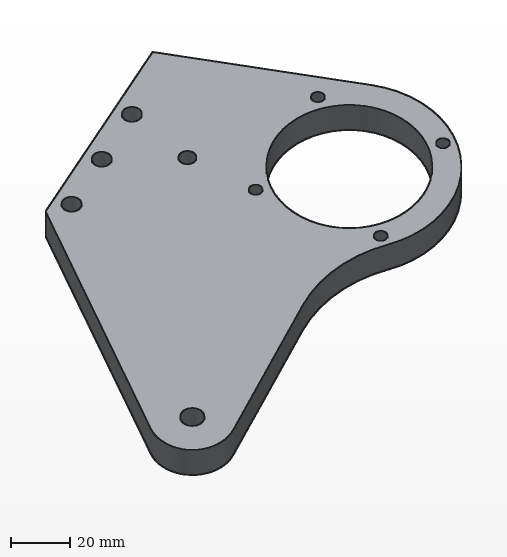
import cadquery as cq
import math

THICKNESS = 12.7

RING_RADIUS = 37.8
BORE_RADIUS = 28.0
RING_HOLE_RADIUS = 2.3
RING_HOLE_SPACING = 47.1

LENGTH = 178.5
TAIL_RADIUS = 15.0
TAIL_HOLE_RADIUS = 4.1
TAIL_CENTER = (3.4, -(LENGTH - RING_RADIUS - TAIL_RADIUS))

WIDTH = 120.5
EDGE_X = RING_RADIUS - WIDTH
EDGE_TOP = (EDGE_X, 17.1)
EDGE_BOTTOM = (EDGE_X, -63.9)
EDGE_HOLE_RADIUS = 3.4
EDGE_HOLE_INSET = 6.5
EDGE_HOLE_PITCH = 22.8
EDGE_HOLE_MIDDLE_Y = -34.3

INNER_HOLE_RADIUS = 3.0
INNER_HOLE_CENTER = (-50.7, -20.7)

WAIST_RADIUS = 50.0
FLANK_ANGLE = math.radians(4.0)


def polar(center, radius, angle):
    """Point at a radius and angle from a centre."""
    return (center[0] + radius * math.cos(angle), center[1] + radius * math.sin(angle))


def tangent_angle(corner, center, radius, side):
    """Angle on a circle where a line from the corner touches it; side is +1 or -1."""
    dx = corner[0] - center[0]
    dy = corner[1] - center[1]
    return math.atan2(dy, dx) + side * math.acos(radius / math.hypot(dx, dy))


def waist_center():
    """Centre of the concave arc, tangent to the ring and to the straight flank."""
    base_x, base_y = polar(TAIL_CENTER, TAIL_RADIUS + WAIST_RADIUS, FLANK_ANGLE)
    along_x, along_y = -math.sin(FLANK_ANGLE), math.cos(FLANK_ANGLE)
    projection = base_x * along_x + base_y * along_y
    offset_squared = base_x**2 + base_y**2 - projection**2
    center_distance = RING_RADIUS + WAIST_RADIUS
    travel = -projection - math.sqrt(center_distance**2 - offset_squared)
    return (base_x + travel * along_x, base_y + travel * along_y)


def add_arc(outline, center, radius, start, end):
    """Continue the outline along a circle from its start angle to its end angle."""
    middle = polar(center, radius, (start + end) / 2)
    return outline.threePointArc(middle, polar(center, radius, end))


def plate():
    """Outline of straight edges and tangent arcs, extruded upwards."""
    ring_center = (0, 0)
    waist = waist_center()
    ring_start = tangent_angle(EDGE_TOP, ring_center, RING_RADIUS, -1)
    ring_end = math.atan2(waist[1], waist[0])
    ring_start %= 2 * math.pi
    waist_start = ring_end + math.pi
    waist_end = FLANK_ANGLE + math.pi
    tail_end = tangent_angle(EDGE_BOTTOM, TAIL_CENTER, TAIL_RADIUS, 1)
    tail_end -= 2 * math.pi

    outline = cq.Workplane("XY").moveTo(*EDGE_BOTTOM).lineTo(*EDGE_TOP)
    outline = outline.lineTo(*polar(ring_center, RING_RADIUS, ring_start))
    outline = add_arc(outline, ring_center, RING_RADIUS, ring_start, ring_end)
    outline = add_arc(outline, waist, WAIST_RADIUS, waist_start, waist_end)
    outline = outline.lineTo(*polar(TAIL_CENTER, TAIL_RADIUS, FLANK_ANGLE))
    outline = add_arc(outline, TAIL_CENTER, TAIL_RADIUS, FLANK_ANGLE, tail_end)
    return outline.close().extrude(THICKNESS)


def holes(centers, radius):
    """Cylinders that cut through the full thickness."""
    return cq.Workplane("XY").pushPoints(centers).circle(radius).extrude(THICKNESS)


edge_hole_centers = [
    (EDGE_X + EDGE_HOLE_INSET, EDGE_HOLE_MIDDLE_Y + step * EDGE_HOLE_PITCH) for step in (-1, 0, 1)
]
ring_hole_centers = [
    (sx * RING_HOLE_SPACING / 2, sy * RING_HOLE_SPACING / 2) for sx in (-1, 1) for sy in (-1, 1)
]

result = plate()
result = result.cut(holes([(0, 0)], BORE_RADIUS))
result = result.cut(holes(ring_hole_centers, RING_HOLE_RADIUS))
result = result.cut(holes([TAIL_CENTER], TAIL_HOLE_RADIUS))
result = result.cut(holes(edge_hole_centers, EDGE_HOLE_RADIUS))
result = result.cut(holes([INNER_HOLE_CENTER], INNER_HOLE_RADIUS))